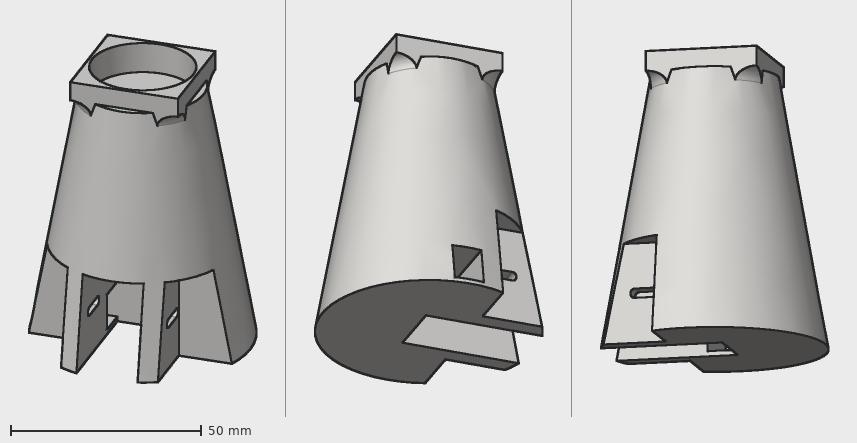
import cadquery as cq
import math

base_radius = 30.0
top_radius = 17.0
cone_height = 72.6
total_height = 77.9
taper = (base_radius - top_radius) / cone_height

head_side = 30.0
recess_diameter = 28.2
recess_depth = 8.5

flare_bottom = 69.0

cutout_height = 26.7
cutout_face_y = -10.0
leg_inner_x = 8.5
leg_thickness = 5.0
leg_outer_x = leg_inner_x + leg_thickness

slot_length = 9.0
slot_width = 2.5
slot_center_y = -15.0
slot_center_z = cutout_height / 2

window_width = 8.2
window_height = 10.3
window_sill = 1.4
window_depth = base_radius - leg_inner_x

bay_back_y = window_width / 2


def cone_radius(z):
    """Radius of the conical body at height z."""
    return base_radius - taper * z


def make_body():
    profile = [(0, 0), (base_radius, 0), (top_radius, cone_height), (0, cone_height)]
    return cq.Workplane("XZ").polyline(profile).close().revolve(360, (0, 0), (0, 1))


def make_head():
    """Square block whose corners run down into the cone along a concave flare."""
    corner_radius = head_side / math.sqrt(2)
    neck_radius = cone_radius(flare_bottom)
    arc_reach = corner_radius - neck_radius
    arc_rise = cone_height - flare_bottom
    arc_middle = (
        corner_radius - arc_reach * math.cos(math.pi / 4),
        flare_bottom + arc_rise * math.sin(math.pi / 4),
    )
    envelope = (
        cq.Workplane("XZ")
        .moveTo(0, flare_bottom)
        .lineTo(neck_radius, flare_bottom)
        .threePointArc(arc_middle, (corner_radius, cone_height))
        .lineTo(corner_radius, total_height)
        .lineTo(0, total_height)
        .close()
        .revolve(360, (0, 0), (0, 1))
    )
    block = (
        cq.Workplane("XY")
        .workplane(offset=flare_bottom)
        .rect(head_side, head_side)
        .extrude(total_height - flare_bottom)
    )
    return block.intersect(envelope)


def make_recess():
    return (
        cq.Workplane("XY")
        .workplane(offset=total_height - recess_depth)
        .circle(recess_diameter / 2)
        .extrude(recess_depth)
    )


def make_front_cutout(x_min, x_max, y_back):
    """Block removed from the front of the base, from y_back outwards."""
    return (
        cq.Workplane("XY")
        .moveTo(x_min, -base_radius)
        .lineTo(x_max, -base_radius)
        .lineTo(x_max, y_back)
        .lineTo(x_min, y_back)
        .close()
        .extrude(cutout_height)
    )


def make_leg_slot():
    return (
        cq.Workplane("YZ")
        .center(slot_center_y, slot_center_z)
        .slot2D(slot_length, slot_width)
        .extrude(leg_outer_x, both=True)
    )


def make_window():
    return (
        cq.Workplane("XY")
        .workplane(offset=window_sill)
        .center(window_depth / 2 - base_radius, 0)
        .rect(window_depth, window_width)
        .extrude(window_height)
    )


result = (
    make_body()
    .union(make_head())
    .cut(make_recess())
    .cut(make_front_cutout(-base_radius, -leg_outer_x, cutout_face_y))
    .cut(make_front_cutout(-leg_inner_x, leg_inner_x, bay_back_y))
    .cut(make_front_cutout(leg_outer_x, base_radius, cutout_face_y))
    .cut(make_leg_slot())
    .cut(make_window())
)